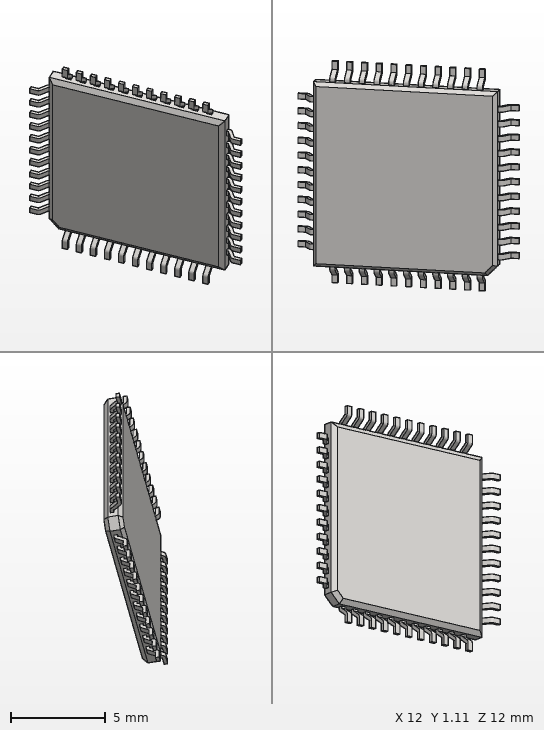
import cadquery as cq
import math


BODY_SIDE = 10.0
BODY_BACK = 1.11
BODY_STANDOFF = 0.09
BACK_BEVEL_DEPTH = 0.26
BACK_BEVEL_INSET = 0.20
FOOT_BEVEL_DEPTH = 0.20
FOOT_BEVEL_INSET = 0.28
CORNER_CUT = 0.54
OFFSET_LEG_LOSS = 2 - math.sqrt(2)

SPAN = 12.0
LEADS_PER_SIDE = 11
LEAD_PITCH = 0.8
LEAD_WIDTH = 0.3
LEAD_THICKNESS = 0.20
FOOT_LENGTH = 0.43
SHOULDER_LENGTH = 0.11
SHOULDER_TOP = 0.71
ROOT_DEPTH = 0.5


def body_outline(y, inset):
    """Wire of the body section at height y, offset inward from the rim."""
    half = BODY_SIDE / 2 - inset
    cut = CORNER_CUT - OFFSET_LEG_LOSS * inset
    points = [
        (-half + cut, -half),
        (half, -half),
        (half, half),
        (-half, half),
        (-half, -half + cut),
    ]
    return cq.Wire.makePolygon([cq.Vector(x, y, z) for x, z in points], close=True)


def body_layer(y_start, inset_start, y_end, inset_end):
    """Straight-sided layer of the body between two sections."""
    sections = [body_outline(y_start, inset_start), body_outline(y_end, inset_end)]
    return cq.Workplane(cq.Solid.makeLoft(sections, True))


def make_body():
    rim_low = BODY_STANDOFF + FOOT_BEVEL_DEPTH
    rim_high = BODY_BACK - BACK_BEVEL_DEPTH
    foot_bevel = body_layer(BODY_STANDOFF, FOOT_BEVEL_INSET, rim_low, 0)
    rim = body_layer(rim_low, 0, rim_high, 0)
    back_bevel = body_layer(rim_high, 0, BODY_BACK, BACK_BEVEL_INSET)
    return foot_bevel.union(rim).union(back_bevel)


def make_lead():
    """Lead on the +X side at Z = 0: sharp inner bends, round outer bends."""
    tip = SPAN / 2
    root = BODY_SIDE / 2 - ROOT_DEPTH
    foot_bend = (tip - FOOT_LENGTH, LEAD_THICKNESS)
    shoulder_bend = (BODY_SIDE / 2 + SHOULDER_LENGTH, SHOULDER_TOP - LEAD_THICKNESS)

    run = foot_bend[0] - shoulder_bend[0]
    rise = shoulder_bend[1] - foot_bend[1]
    slope = math.atan2(rise, run) + math.asin(LEAD_THICKNESS / math.hypot(run, rise))

    def around(corner, side, angle):
        """Point one thickness from a corner, turned from the sheet normal by angle."""
        return (
            corner[0] + side * LEAD_THICKNESS * math.sin(angle),
            corner[1] + side * LEAD_THICKNESS * math.cos(angle),
        )

    profile = (
        cq.Workplane("XY", origin=(0, 0, -LEAD_WIDTH / 2))
        .moveTo(root, SHOULDER_TOP)
        .lineTo(*around(shoulder_bend, 1, 0))
        .threePointArc(around(shoulder_bend, 1, slope / 2), around(shoulder_bend, 1, slope))
        .lineTo(*foot_bend)
        .lineTo(tip, LEAD_THICKNESS)
        .lineTo(tip, 0)
        .lineTo(*around(foot_bend, -1, 0))
        .threePointArc(around(foot_bend, -1, slope / 2), around(foot_bend, -1, slope))
        .lineTo(*shoulder_bend)
        .lineTo(root, shoulder_bend[1])
        .close()
    )
    return profile.extrude(LEAD_WIDTH)


def add_leads(body):
    lead = make_lead()
    first = -LEAD_PITCH * (LEADS_PER_SIDE - 1) / 2
    row = [lead.translate((0, 0, first + i * LEAD_PITCH)).val() for i in range(LEADS_PER_SIDE)]
    sides = [
        shape.rotate(cq.Vector(0, 0, 0), cq.Vector(0, 1, 0), turn)
        for turn in (0, 90, 180, 270)
        for shape in row
    ]
    return cq.Workplane(body.val().fuse(*sides))


result = add_leads(make_body())